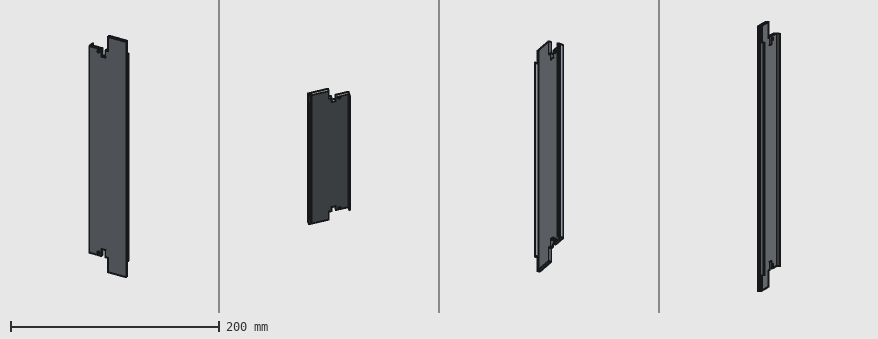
import cadquery as cq

length = 262.0
width = 40.4
depth = 6.3
plate_thickness = 3.0

step_width = 20.5
step_height = 16.0
slot_start = 13.4
slot_width = 4.2
slot_depth = 7.9
hole_from_side = 10.0
hole_from_end = 3.1
hole_diameter = 2.4

left_flange_thickness = 1.0
left_tip_bevel_width = 0.5
left_tip_bevel_depth = 1.0
right_flange_thickness = 1.8
right_tip_bevel = 0.8

groove_size = 1.3
outer_groove_middle = 1.5

flange_length = length - 2 * step_height


def prism(points, height):
    """Extrude an XY outline along Z, centred on the middle of the part."""
    return cq.Workplane("XY").polyline(points).close().extrude(height / 2, both=True)


def make_plate():
    """Full-length plate, with a V groove along each side of the right flange root."""
    inner_wall = width - right_flange_thickness
    return prism(
        [
            (0, 0),
            (width, 0),
            (width, outer_groove_middle - groove_size / 2),
            (width - groove_size, outer_groove_middle),
            (width, outer_groove_middle + groove_size / 2),
            (width, plate_thickness),
            (inner_wall, plate_thickness),
            (inner_wall - groove_size / 2, plate_thickness - groove_size),
            (inner_wall - groove_size, plate_thickness),
            (0, plate_thickness),
        ],
        length,
    )


def make_left_flange():
    """Thin flange whose outer face leans inward at the tip."""
    return prism(
        [
            (0, 0),
            (left_flange_thickness, 0),
            (left_flange_thickness, depth),
            (left_tip_bevel_width, depth),
            (0, depth - left_tip_bevel_depth),
        ],
        flange_length,
    )


def make_right_flange():
    """Flange with a bevelled outer tip, starting at the back of the plate."""
    return prism(
        [
            (width - right_flange_thickness, plate_thickness),
            (width, plate_thickness),
            (width, depth - right_tip_bevel),
            (width - right_tip_bevel, depth),
            (width - right_flange_thickness, depth),
        ],
        flange_length,
    )


def make_end_cut(end):
    """Corner step, relief slot and pin hole for the top (+1) or bottom (-1) end."""
    shoulder = end * flange_length / 2
    step = cq.Workplane("XY").box(step_width, depth, step_height, centered=(False, False, True))
    step = step.translate((0, 0, shoulder + end * step_height / 2))
    slot = cq.Workplane("XY").box(slot_width, depth, slot_depth, centered=(False, False, True))
    slot = slot.translate((slot_start, 0, shoulder - end * slot_depth / 2))
    hole = (
        cq.Workplane("XZ")
        .center(hole_from_side, shoulder - end * hole_from_end)
        .circle(hole_diameter / 2)
        .extrude(-depth)
    )
    return step.union(slot).union(hole)


result = make_plate().union(make_left_flange()).union(make_right_flange())
for end in (1, -1):
    result = result.cut(make_end_cut(end))